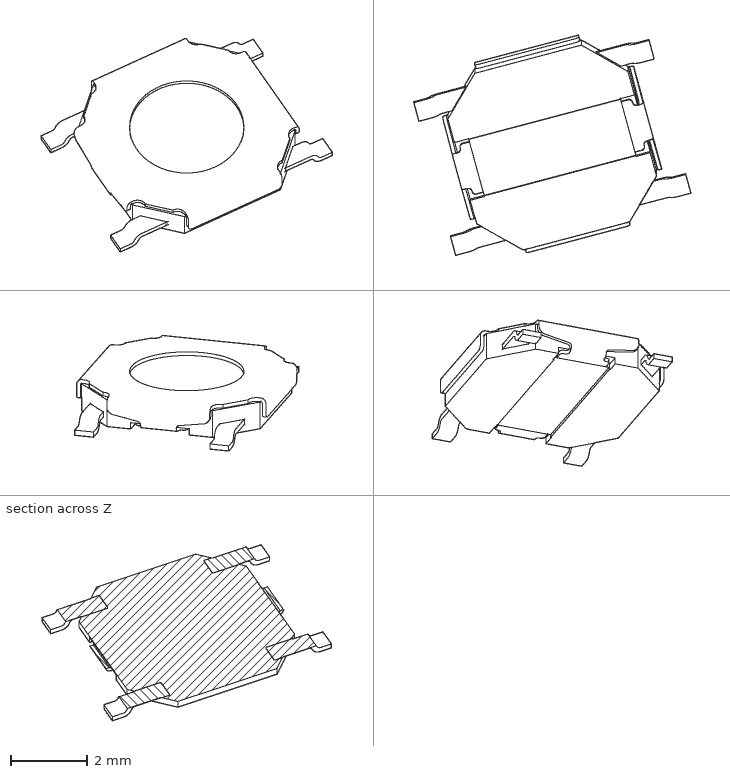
import cadquery as cq
import math

overall_height = 0.9
terminal_span = 6.4
base_width = 4.895

sheet = 0.1
bend_inner_radius = 0.049
hole_diameter = 3.0
flap_width = 2.82
side_flap_bottom = 0.345
side_flap_corner_radius = 0.13
end_flap_corner_height = 0.49
end_flap_corner_radius = 0.2
end_flap_slope = 10.0
relief_depth = 0.27
relief_radius = 0.23
corner_setback = 0.07

hook_bottom = 0.13
hook_neck_width = 0.985
hook_head_width = 1.395
hook_radius = 0.095
hook_shoulder_depth = 0.1
hook_length = 0.385

base_bottom = 0.05
base_corner = 1.0
pocket_width = 1.6
channel_width = 1.56

disc_diameter = 3.5
disc_seat_diameter = 3.6
disc_thickness = 0.1

terminal_width = 0.52
terminal_thickness = 0.15
terminal_offset = 1.855
terminal_top = 0.4
terminal_inner_radius = 0.1
terminal_bend = 63.0
foot_length = 0.32
terminal_inner_end = 1.535

half_base = base_width / 2
bend_radius = sheet + bend_inner_radius
half_cover = half_base + bend_radius
half_flap = flap_width / 2
half_neck = hook_neck_width / 2
base_top = overall_height - sheet
hook_top = hook_bottom + sheet
flap_inside = half_cover - sheet
diagonal = math.sqrt(0.5)


def round_edges(body, points, radius):
    """Fillet the edges whose midpoints lie at the given points."""
    for point in points:
        body = body.edges(cq.selectors.NearestToPointSelector(point)).fillet(radius)
    return body


def mirrored_pair(x, y, z):
    return [(x, y, z), (-x, y, z)]


def make_terminal():
    """Flat strip bent down to a foot that points along +Y, centred on X = 0."""
    angle = math.radians(terminal_bend)
    sine, cosine = math.sin(angle), math.cos(angle)
    inner = terminal_inner_radius
    outer = inner + terminal_thickness
    drop = terminal_top - terminal_thickness
    slope_length = (drop - (inner + outer) * (1 - cosine)) / sine
    tip = terminal_span / 2
    foot_start = tip - foot_length
    bend_start = foot_start - (inner + outer) * sine - slope_length * cosine
    upper_centre = terminal_top - outer
    lower_centre = outer

    def on_upper(radius, turn):
        return (bend_start + radius * math.sin(turn), upper_centre + radius * math.cos(turn))

    def on_lower(radius, turn):
        return (foot_start - radius * math.sin(turn), lower_centre - radius * math.cos(turn))

    return (
        cq.Workplane("YZ")
        .moveTo(terminal_inner_end, terminal_top)
        .lineTo(*on_upper(outer, 0))
        .threePointArc(on_upper(outer, angle / 2), on_upper(outer, angle))
        .lineTo(*on_lower(inner, angle))
        .threePointArc(on_lower(inner, angle / 2), on_lower(inner, 0))
        .lineTo(tip, terminal_thickness)
        .lineTo(tip, 0)
        .lineTo(*on_lower(outer, 0))
        .threePointArc(on_lower(outer, angle / 2), on_lower(outer, angle))
        .lineTo(*on_upper(inner, angle))
        .threePointArc(on_upper(inner, angle / 2), on_upper(inner, 0))
        .lineTo(terminal_inner_end, terminal_top - terminal_thickness)
        .close()
        .extrude(terminal_width / 2, both=True)
    )


def make_terminals():
    terminal = make_terminal()
    placed = []
    for turn in (0, 180):
        for x in (-terminal_offset, terminal_offset):
            placed.append(terminal.translate((x, 0, 0)).rotate((0, 0, 0), (0, 0, 1), turn))
    return placed


def make_disc():
    return (
        cq.Workplane("XY", origin=(0, 0, base_top - disc_thickness))
        .circle(disc_diameter / 2)
        .extrude(disc_thickness)
    )


def make_base(terminals):
    """Octagonal block with a disc seat, a bottom channel, hook pockets and terminal slots."""
    base = (
        cq.Workplane("XY", origin=(0, 0, base_bottom))
        .rect(base_width, base_width)
        .extrude(base_top - base_bottom)
        .edges("|Z")
        .chamfer(base_corner)
    )
    disc_seat = (
        cq.Workplane("XY", origin=(0, 0, base_top - disc_thickness))
        .circle(disc_seat_diameter / 2)
        .extrude(disc_thickness)
    )
    channel = (
        cq.Workplane("XY", origin=(0, 0, base_bottom))
        .rect(channel_width, base_width)
        .extrude(hook_bottom - base_bottom)
    )
    hook_pockets = (
        cq.Workplane("XY", origin=(0, 0, base_bottom))
        .pushPoints([(0, half_base - hook_length / 2), (0, hook_length / 2 - half_base)])
        .rect(pocket_width, hook_length)
        .extrude(hook_top - base_bottom)
    )
    base = base.cut(disc_seat).cut(channel).cut(hook_pockets)
    for terminal in terminals:
        base = base.cut(terminal)
    return base


def make_cover_plate():
    """Flat top with the round hole, and a cut corner with two notches at each corner."""
    notch_end = half_base - relief_depth
    corner_sum = base_width - base_corner - corner_setback
    cut_start = corner_sum - notch_end
    corner = (
        cq.Workplane("XY", origin=(0, 0, base_top))
        .polyline([
            (half_flap, half_base),
            (half_flap, notch_end),
            (cut_start, notch_end),
            (notch_end, cut_start),
            (notch_end, half_flap),
            (half_base, half_flap),
            (half_base, half_base),
        ])
        .close()
        .extrude(sheet)
    )
    middle = base_top + sheet / 2
    notch_corners = [(half_flap, notch_end, middle), (notch_end, half_flap, middle)]
    corner = round_edges(corner, notch_corners, relief_radius)
    plate = (
        cq.Workplane("XY", origin=(0, 0, base_top))
        .rect(base_width, base_width)
        .circle(hole_diameter / 2)
        .extrude(sheet)
    )
    for turn in range(0, 360, 90):
        plate = plate.cut(corner.rotate((0, 0, 0), (0, 0, 1), turn))
    return plate


def top_bend(profile):
    """Start a flap profile on a vertical plane: the outer bend from the plate down to the flap."""
    centre = overall_height - bend_radius
    reach = bend_radius * diagonal
    return (
        profile.moveTo(half_base, overall_height)
        .threePointArc((half_base + reach, centre + reach), (half_cover, centre))
    )


def close_top_bend(profile):
    """Finish a flap profile: up the inside of the flap and round the inner bend."""
    centre = overall_height - bend_radius
    reach = bend_inner_radius * diagonal
    return (
        profile.lineTo(flap_inside, centre)
        .threePointArc((half_base + reach, centre + reach), (half_base, base_top))
        .close()
    )


def make_side_flap():
    """Plain flap on the +X side."""
    profile = top_bend(cq.Workplane("XZ")).lineTo(half_cover, side_flap_bottom)
    flap = close_top_bend(profile.lineTo(flap_inside, side_flap_bottom))
    flap = flap.extrude(half_flap, both=True)
    middle = half_cover - sheet / 2
    corners = [(middle, half_flap, side_flap_bottom), (middle, -half_flap, side_flap_bottom)]
    return round_edges(flap, corners, side_flap_corner_radius)


def make_end_flap_outline():
    """Prism along Y with the end flap's outline: sloped lower edges running into a narrow neck."""
    neck_top = end_flap_corner_height - (half_flap - half_neck) * math.tan(math.radians(end_flap_slope))
    outline = (
        cq.Workplane("XZ")
        .polyline([
            (half_flap, overall_height),
            (half_flap, end_flap_corner_height),
            (half_neck, neck_top),
            (half_neck, hook_bottom),
            (-half_neck, hook_bottom),
            (-half_neck, neck_top),
            (-half_flap, end_flap_corner_height),
            (-half_flap, overall_height),
        ])
        .close()
        .extrude(-2 * half_cover)
    )
    middle = half_cover
    flap_corners = mirrored_pair(half_flap, middle, end_flap_corner_height)
    outline = round_edges(outline, flap_corners, end_flap_corner_radius)
    return round_edges(outline, mirrored_pair(half_neck, middle, neck_top), hook_radius)


def make_hook_head():
    """Flat T-shaped end of the hook, lying under the base at the +Y end."""
    half_head = hook_head_width / 2
    shoulder = half_base - hook_shoulder_depth
    head_end = half_base - hook_length
    head = (
        cq.Workplane("XY", origin=(0, 0, hook_bottom))
        .polyline([
            (half_neck, half_base),
            (half_neck, shoulder),
            (half_head, shoulder),
            (half_head, head_end),
            (-half_head, head_end),
            (-half_head, shoulder),
            (-half_neck, shoulder),
            (-half_neck, half_base),
        ])
        .close()
        .extrude(sheet)
    )
    middle = hook_bottom + sheet / 2
    head = round_edges(head, mirrored_pair(half_head, shoulder, middle), hook_radius)
    return round_edges(head, mirrored_pair(half_neck, shoulder, middle), hook_radius)


def make_end_flap():
    """Flap on the +Y end, with its hook curled under the base."""
    curl_centre = hook_bottom + bend_radius
    outer_reach = bend_radius * diagonal
    inner_reach = bend_inner_radius * diagonal
    profile = (
        top_bend(cq.Workplane("YZ"))
        .lineTo(half_cover, curl_centre)
        .threePointArc((half_base + outer_reach, curl_centre - outer_reach), (half_base, hook_bottom))
        .lineTo(half_base, hook_top)
        .threePointArc((half_base + inner_reach, curl_centre - inner_reach), (flap_inside, curl_centre))
    )
    strip = close_top_bend(profile).extrude(half_flap, both=True)
    return strip.intersect(make_end_flap_outline()).union(make_hook_head())


def make_cover():
    cover = make_cover_plate()
    side_flap = make_side_flap()
    end_flap = make_end_flap()
    for turn in (0, 180):
        for flap in (side_flap, end_flap):
            cover = cover.union(flap.rotate((0, 0, 0), (0, 0, 1), turn))
    return cover


terminals = make_terminals()
disc = make_disc()
base = make_base(terminals)
cover = make_cover()

result = cq.Compound.makeCompound([
    base.val(),
    cover.val(),
    disc.val(),
    *[terminal.val() for terminal in terminals],
])